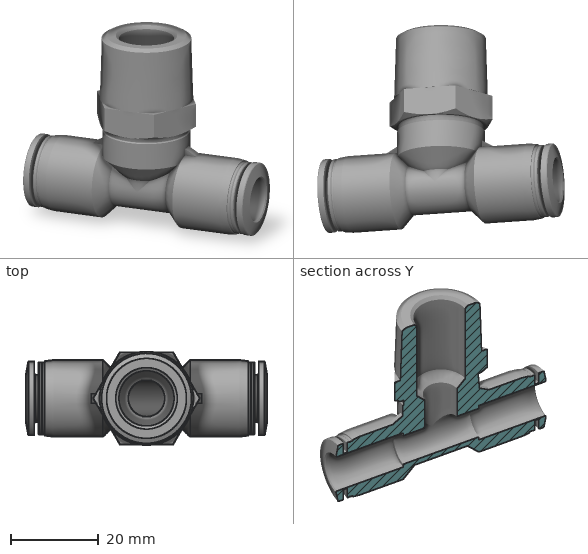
import cadquery as cq
import math


run_half_length = 27.5
core_radius = 11.5 / 2
body_radius = 17.5 / 2
body_tip_radius = 17.0 / 2
ring_radius = 16.5 / 2
ring_chamfer = 0.15
ring_groove_depth = 0.15
ring_groove_width = 0.35
cap_radius = 16.8 / 2
cap_chamfer = 0.15
cap_neck_radius = 10.8 / 2
cap_neck_chamfer = 0.2
shoulder_x = 9.9
body_taper_x = 21.2
body_tip_x = 23.15
ring_groove_x = 23.8
ring_face_x = 24.6
cap_back_x = 25.5
cap_rim_x = 26.8

tube_radius = 10 / 2
tube_mouth_radius = 10.57 / 2
tube_stop_x = shoulder_x
passage_radius = 8.3 / 2
stud_bore_radius = 12.57 / 2
stud_mouth_radius = 14 / 2

stud_top_z = 36.0
hex_top_z = 21.0
hex_bottom_z = 14.6
collar_top_z = 13.5
collar_bottom_z = 7.13
thread_base_radius = 21.34 / 2
thread_taper = 1 / 16
thread_end_radius = 18.2 / 2
thread_chamfer_height = 0.65
neck_radius = 19.5 / 2
collar_radius = 20 / 2
hex_across_flats = 21.0
hex_chamfer_angle = 30.0

tab_width = 2.2
tab_tip_x = 12.6
tab_angle = 30.0
tab_overlap = 1.0


def revolve_z(profile):
    """Turn a closed (radius, z) outline about the Z axis."""
    return cq.Workplane("XZ").polyline(profile).close().revolve(360, (0, 0, 0), (0, 1, 0))


def revolve_x(profile):
    """Turn a closed (x, radius) outline about the X axis."""
    return cq.Workplane("XZ").polyline(profile).close().revolve(360, (0, 0, 0), (1, 0, 0))


def both_ends(shape):
    """Join a +X shape with its mirror image on the -X side."""
    return shape.union(shape.mirror("YZ"))


def tube_run():
    shoulder_start_x = shoulder_x - (body_radius - core_radius)
    groove_radius = ring_radius - ring_groove_depth
    half_run = revolve_x([
        (0, 0),
        (0, core_radius),
        (shoulder_start_x, core_radius),
        (shoulder_x, body_radius),
        (body_taper_x, body_radius),
        (body_tip_x, body_tip_radius),
        (body_tip_x, ring_radius),
        (ring_groove_x - ring_groove_width / 2, ring_radius),
        (ring_groove_x, groove_radius),
        (ring_groove_x + ring_groove_width / 2, ring_radius),
        (ring_face_x - ring_chamfer, ring_radius),
        (ring_face_x, ring_radius - ring_chamfer),
        (ring_face_x, cap_neck_radius),
        (cap_back_x - cap_neck_chamfer, cap_neck_radius),
        (cap_back_x, cap_neck_radius + cap_neck_chamfer),
        (cap_back_x, cap_radius),
        (cap_rim_x, cap_radius),
        (cap_rim_x + cap_chamfer, cap_radius - cap_chamfer),
        (run_half_length, tube_mouth_radius),
        (run_half_length, 0),
    ])
    return both_ends(half_run)


def stud():
    cone_bottom_z = collar_bottom_z - (collar_radius - core_radius)
    thread_tip_z = stud_top_z - thread_chamfer_height
    thread_tip_radius = thread_base_radius - (thread_tip_z - hex_top_z) * thread_taper / 2
    collar_edge_z = collar_top_z - (collar_radius - neck_radius)
    return revolve_z([
        (0, 0),
        (core_radius, 0),
        (core_radius, cone_bottom_z),
        (collar_radius, collar_bottom_z),
        (collar_radius, collar_edge_z),
        (neck_radius, collar_top_z),
        (neck_radius, hex_top_z),
        (thread_base_radius, hex_top_z),
        (thread_tip_radius, thread_tip_z),
        (thread_end_radius, stud_top_z),
        (0, stud_top_z),
    ])


def hexagon():
    """Hexagon with corners on X, its lower corners turned to a cone."""
    corner_radius = hex_across_flats / math.sqrt(3)
    flat_radius = hex_across_flats / 2
    chamfer_height = (corner_radius - flat_radius) * math.tan(math.radians(hex_chamfer_angle))
    prism = (
        cq.Workplane("XY", origin=(0, 0, hex_bottom_z))
        .polygon(6, 2 * corner_radius)
        .extrude(hex_top_z - hex_bottom_z)
    )
    envelope = revolve_z([
        (0, hex_bottom_z),
        (flat_radius, hex_bottom_z),
        (corner_radius, hex_bottom_z + chamfer_height),
        (corner_radius, hex_top_z),
        (0, hex_top_z),
    ])
    return prism.intersect(envelope)


def tabs():
    inner_x = collar_radius - tab_overlap
    slope = math.tan(math.radians(tab_angle))
    inner_z = body_radius + (tab_tip_x - inner_x) * slope
    root_z = body_radius - tab_overlap
    tab = (
        cq.Workplane("XZ")
        .polyline([(inner_x, root_z), (tab_tip_x, root_z), (tab_tip_x, body_radius), (inner_x, inner_z)])
        .close()
        .extrude(tab_width / 2, both=True)
    )
    return both_ends(tab)


def run_bore():
    mouth_depth = tube_mouth_radius - tube_radius
    half_bore = revolve_x([
        (0, 0),
        (0, passage_radius),
        (tube_stop_x, passage_radius),
        (tube_stop_x, tube_radius),
        (run_half_length - mouth_depth, tube_radius),
        (run_half_length, tube_mouth_radius),
        (run_half_length, 0),
    ])
    return both_ends(half_bore)


def stud_bore():
    mouth_depth = stud_mouth_radius - stud_bore_radius
    cone_depth = stud_bore_radius - passage_radius
    return revolve_z([
        (0, 0),
        (passage_radius, 0),
        (passage_radius, hex_bottom_z - cone_depth),
        (stud_bore_radius, hex_bottom_z),
        (stud_bore_radius, stud_top_z - mouth_depth),
        (stud_mouth_radius, stud_top_z),
        (0, stud_top_z),
    ])


outer = tube_run().union(stud()).union(hexagon()).union(tabs())
fitting = outer.cut(run_bore()).cut(stud_bore())
result = cq.Workplane(fitting.solids().val())